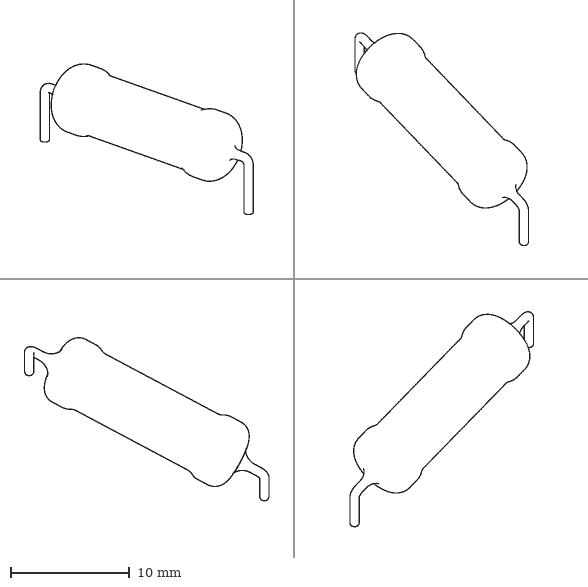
import cadquery as cq
import math

total_length = 23.67
total_height = 8.02

bulge_radius = 6.01 / 2
barrel_radius = 2.7

barrel_end = 5.42
bulge_inner = 6.55
bulge_outer = 7.55
flare_end = 10.27

cap_edge_radius = 1.85

lead_radius = 0.4
bend_radius = 0.6
tip_fillet = 0.12
lead_x = total_length / 2 - lead_radius
lead_bottom = bulge_radius - total_height


def s_curve(profile, start, end, first_share):
    """Add two tangent arcs, level at both ends; first_share is the first arc's share of the height."""
    dx = end[0] - start[0]
    dr = end[1] - start[1]
    radius_sum = (dx ** 2 + dr ** 2) / (2 * abs(dr))
    sweep = 2 * math.atan2(abs(dr), abs(dx))
    x_sign = math.copysign(1, dx)
    r_sign = math.copysign(1, dr)

    def offset(radius, angle):
        """Travel along an arc that leaves its level end, turned through angle."""
        return x_sign * radius * math.sin(angle), r_sign * radius * (1 - math.cos(angle))

    first = radius_sum * first_share
    second = radius_sum - first
    first_mid = offset(first, sweep / 2)
    join = offset(first, sweep)
    second_mid = offset(second, sweep / 2)
    return (
        profile
        .threePointArc(
            (start[0] + first_mid[0], start[1] + first_mid[1]),
            (start[0] + join[0], start[1] + join[1]),
        )
        .threePointArc((end[0] - second_mid[0], end[1] - second_mid[1]), end)
    )


def make_body():
    """Barrel with a bulge and a flare at each end, revolved about X."""
    flare_share = (cap_edge_radius - lead_radius) / (bulge_radius - lead_radius)
    profile = cq.Workplane("XY").moveTo(-flare_end, 0).lineTo(-flare_end, lead_radius)
    profile = s_curve(profile, (-flare_end, lead_radius), (-bulge_outer, bulge_radius), flare_share)
    profile = profile.lineTo(-bulge_inner, bulge_radius)
    profile = s_curve(profile, (-bulge_inner, bulge_radius), (-barrel_end, barrel_radius), 0.5)
    profile = profile.lineTo(barrel_end, barrel_radius)
    profile = s_curve(profile, (barrel_end, barrel_radius), (bulge_inner, bulge_radius), 0.5)
    profile = profile.lineTo(bulge_outer, bulge_radius)
    profile = s_curve(profile, (bulge_outer, bulge_radius), (flare_end, lead_radius), 1 - flare_share)
    return profile.lineTo(flare_end, 0).close().revolve(360, (0, 0), (1, 0))


def make_lead(side):
    """Wire leaving the flare along X and bent down to a rounded tip; side is -1 or 1."""
    bend_start = lead_x - bend_radius
    bend_mid_x = bend_start + bend_radius * math.sin(math.pi / 4)
    bend_mid_z = -bend_radius * (1 - math.cos(math.pi / 4))
    path = (
        cq.Workplane("XZ")
        .moveTo(side * flare_end, 0)
        .lineTo(side * bend_start, 0)
        .threePointArc((side * bend_mid_x, bend_mid_z), (side * lead_x, -bend_radius))
        .lineTo(side * lead_x, lead_bottom)
    )
    wire = cq.Workplane("YZ", origin=(side * flare_end, 0, 0)).circle(lead_radius).sweep(path)
    return wire.faces("<Z").edges().fillet(tip_fillet)


result = make_body().union(make_lead(-1)).union(make_lead(1))